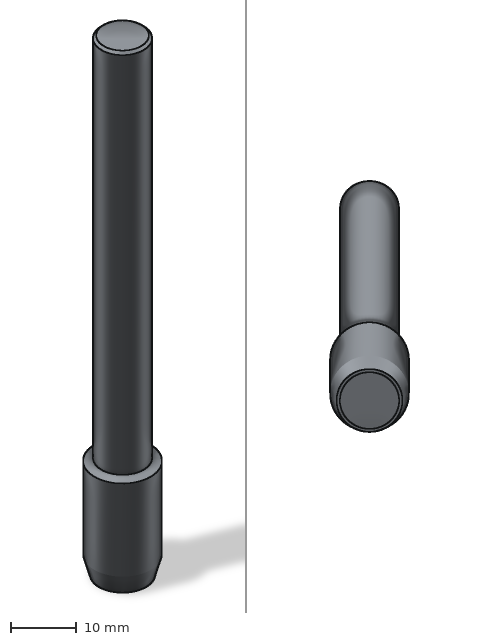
import cadquery as cq

rod_length = 100.0
rod_diameter = 9.0
rod_top_chamfer = 0.5

sleeve_diameter = 12.0
taper_end_diameter = 10.0
taper_length = 3.7
shoulder_base_height = 21.0
shoulder_rise = 0.55


def make_sleeve():
    """Sleeve revolved around Z, its conical shoulder rising to the edge of the bore."""
    bore_radius = rod_diameter / 2
    outer_radius = sleeve_diameter / 2
    profile = (
        cq.Workplane("XZ")
        .moveTo(bore_radius, 0)
        .lineTo(taper_end_diameter / 2, 0)
        .lineTo(outer_radius, taper_length)
        .lineTo(outer_radius, shoulder_base_height)
        .lineTo(bore_radius, shoulder_base_height + shoulder_rise)
        .close()
    )
    return profile.revolve(360, (0, 0, 0), (0, 1, 0))


def make_rod():
    """Rod filling the sleeve bore, with a small chamfer on its top edge."""
    cylinder = cq.Workplane("XY").circle(rod_diameter / 2).extrude(rod_length)
    return cylinder.faces(">Z").edges().chamfer(rod_top_chamfer)


sleeve = make_sleeve()
rod = make_rod()

result = cq.Compound.makeCompound([sleeve.val(), rod.val()])